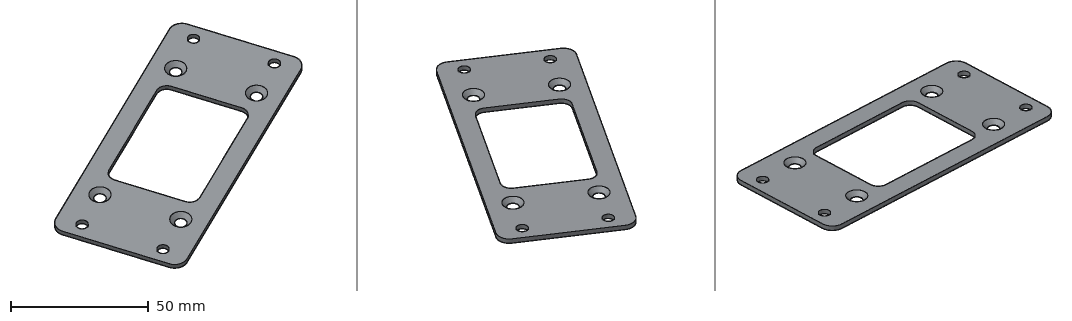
import cadquery as cq

plate_width = 52.0
plate_length = 115.0
plate_thickness = 2.0
plate_corner_radius = 5.0

window_width = 35.9
window_length = 52.0
window_corner_radius = 4.0

hole_diameter = 4.5
hole_spacing_x = 32.0
end_hole_spacing_y = 103.0
countersunk_spacing_y = 70.0
countersink_diameter = 8.0
countersink_angle = 90.0


def rounded_block(width, length, corner_radius):
    """Block of plate thickness with rounded vertical edges, standing on Z = 0."""
    block = cq.Workplane("XY").box(width, length, plate_thickness, centered=(True, True, False))
    return block.edges("|Z").fillet(corner_radius)


def hole_centres(body, spacing_y):
    """Four hole centres on the top face of the plate."""
    top = body.faces(">Z").workplane(origin=(0, 0, plate_thickness))
    return top.rarray(hole_spacing_x, spacing_y, 2, 2)


plate = rounded_block(plate_width, plate_length, plate_corner_radius)
plate = plate.cut(rounded_block(window_width, window_length, window_corner_radius))

plate = hole_centres(plate, end_hole_spacing_y).hole(hole_diameter)

result = hole_centres(plate, countersunk_spacing_y).cskHole(
    hole_diameter, countersink_diameter, countersink_angle
)